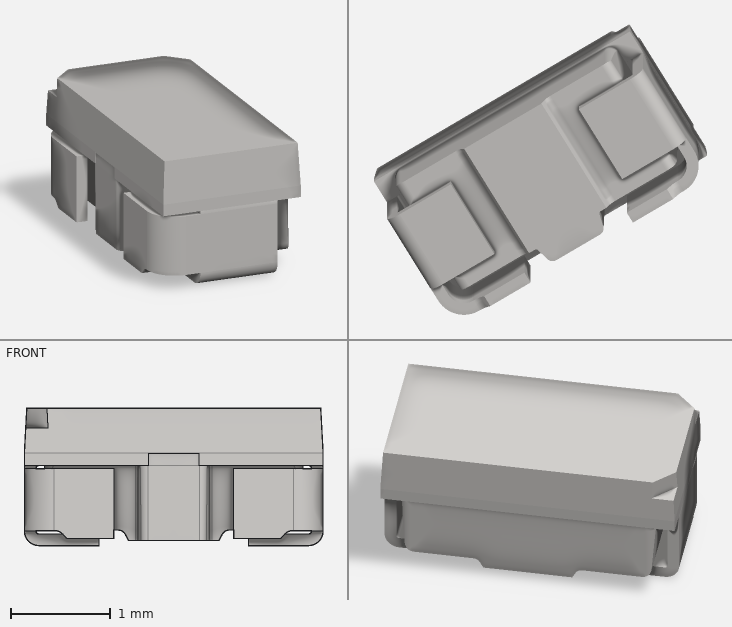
import cadquery as cq
LENGTH = 3.0
WIDTH = 1.5
TOP_Z = 1.38
FLANGE_TOP_Z = 0.93
FLANGE_BOTTOM_Z = 0.807
CAP_INSET = 0.025
CORNER_CUT_LEG = 0.252
CORNER_CUT_DEPTH = 0.198

LENS_LENGTH = 2.425
LENS_WIDTH = 1.182
LENS_CORNER_R = 0.2

BASE_BOTTOM_Z = 0.05
BASE_FRONT_Y = -0.575
BASE_FRONT_LEAN = 0.048
BASE_BACK_Y = 0.732
BASE_TOP_HALF = 1.3
BASE_END_LEAN = 0.048
BASE_EDGE_R = 0.1
STEP_R = 0.075
RECESS_Z = 0.155
RECESS_HALF = 0.51
STEP_HALF = 0.453

BOSS_ROOT_Y = BASE_FRONT_Y + BASE_FRONT_LEAN
BOSS_ROOT_HALF = 0.375
BOSS_TIP_HALF = 0.32
BOSS_SIDE_LEAN = 0.01
BOSS_TOP_Y = -0.74
BOSS_BOTTOM_Y = -0.732
BOSS_TIP_R = 0.08
BOSS_ROOT_R = 0.025
BOSS_FLAT_HALF = 0.255
NOTCH_TOP_Z = 0.925

SHEET = 0.12
FOLD_R = 0.15
FOLD_INNER_R = 0.025
LEAD_TOP_Z = 0.925
LEAD_REACH = 0.75
STRIP_FRONT_Y = -0.345
STRIP_BACK_Y = 0.498
ARM_FRONT_Y = -0.8
ARM_END_X = -0.6
ARM_BEND_R = 0.3
ARM_BOTTOM_Z = 0.072
ARM_STEP_START_X = -1.15
ARM_STEP_END_X = -1.07
ARM_STEP_R = 0.1


def box(x0, x1, y0, y1, z0, z1):
    """Box between two opposite corners."""
    return cq.Workplane("XY").box(x1 - x0, y1 - y0, z1 - z0, centered=False).translate((x0, y0, z0))


def make_lens():
    depth = TOP_Z - FLANGE_TOP_Z
    lens = cq.Workplane("XY").workplane(offset=FLANGE_TOP_Z).rect(LENS_LENGTH, LENS_WIDTH).extrude(depth)
    return lens.edges("|Z").fillet(LENS_CORNER_R)


def make_lead():
    """Lead on the -X end: C-shaped strip plus an arm bent round the front corner."""
    end_x = -LENGTH / 2
    strip_width = STRIP_BACK_Y - STRIP_FRONT_Y
    strip = box(end_x, end_x + LEAD_REACH, STRIP_FRONT_Y, STRIP_BACK_Y, 0, LEAD_TOP_Z)
    strip = strip.edges("|Y and <X").fillet(FOLD_R)
    inside = box(end_x + SHEET, 0, STRIP_FRONT_Y, STRIP_FRONT_Y + strip_width, SHEET, LEAD_TOP_Z - SHEET)
    strip = strip.cut(inside.edges("|Y and <X").fillet(FOLD_INNER_R))

    arm = box(end_x, ARM_END_X, ARM_FRONT_Y, STRIP_FRONT_Y, ARM_BOTTOM_Z, LEAD_TOP_Z - FOLD_R)
    arm = arm.edges("|Z and <X and <Y").fillet(ARM_BEND_R)
    hollow = box(end_x + SHEET, 0, ARM_FRONT_Y + SHEET, STRIP_FRONT_Y, 0, LEAD_TOP_Z)
    arm = arm.cut(hollow.edges("|Z and <X and <Y").fillet(ARM_BEND_R - SHEET))
    clearance = (
        cq.Workplane("XZ", origin=(0, STRIP_FRONT_Y, 0))
        .moveTo(end_x, ARM_BOTTOM_Z)
        .lineTo(ARM_STEP_END_X, ARM_BOTTOM_Z)
        .lineTo(ARM_STEP_START_X, FOLD_R)
        .lineTo(end_x, FOLD_R)
        .close()
        .extrude(STRIP_FRONT_Y - ARM_FRONT_Y)
    )
    clearance = clearance.edges("|Y").edges(">Z").edges(">X").fillet(ARM_STEP_R)
    return strip.union(arm.cut(clearance))


def make_head():
    """Flange and cap with the two cut corners on the -X end."""
    flange = (
        cq.Workplane("XY").workplane(offset=FLANGE_BOTTOM_Z)
        .rect(LENGTH, WIDTH).extrude(FLANGE_TOP_Z - FLANGE_BOTTOM_Z)
    )
    cap = (
        cq.Workplane("XY").workplane(offset=FLANGE_TOP_Z)
        .rect(LENGTH, WIDTH)
        .workplane(offset=TOP_Z - FLANGE_TOP_Z)
        .rect(LENGTH - 2 * CAP_INSET, WIDTH - 2 * CAP_INSET)
        .loft(ruled=True)
    )
    for side in (-1, 1):
        corner = (
            cq.Workplane("XY").workplane(offset=TOP_Z - CORNER_CUT_DEPTH)
            .moveTo(-LENGTH / 2, side * WIDTH / 2)
            .lineTo(-LENGTH / 2 + CORNER_CUT_LEG, side * WIDTH / 2)
            .lineTo(-LENGTH / 2, side * (WIDTH / 2 - CORNER_CUT_LEG))
            .close()
            .extrude(CORNER_CUT_DEPTH)
        )
        cap = cap.cut(corner)
    notch = box(-BOSS_FLAT_HALF, BOSS_FLAT_HALF, -WIDTH / 2, BOSS_TOP_Y, FLANGE_BOTTOM_Z, NOTCH_TOP_Z)
    return flange.union(cap).cut(notch)


def round_pair(block, x, z, radius):
    """Round the two edges along Y that sit at height z, at +x and -x."""
    for edge_x in (-x, x):
        edge = cq.selectors.NearestToPointSelector((edge_x, (BASE_FRONT_Y + BASE_BACK_Y) / 2, z))
        block = block.edges("|Y").edges(edge).fillet(radius)
    return block


def make_base():
    """Base block with leaning ends and raised undersides above the lead feet."""
    bottom_half = BASE_TOP_HALF - BASE_END_LEAN
    profile = [
        (BASE_TOP_HALF, FLANGE_BOTTOM_Z),
        (bottom_half, RECESS_Z),
        (RECESS_HALF, RECESS_Z),
        (STEP_HALF, BASE_BOTTOM_Z),
    ]
    mirrored = [(-x, z) for x, z in reversed(profile)]
    block = (
        cq.Workplane("XZ", origin=(0, BASE_BACK_Y, 0))
        .polyline(profile + mirrored).close()
        .extrude(BASE_BACK_Y - BASE_FRONT_Y)
    )
    block = round_pair(block, bottom_half, RECESS_Z, BASE_EDGE_R)
    block = round_pair(block, RECESS_HALF, RECESS_Z, STEP_R)
    plan = box(-BASE_TOP_HALF, BASE_TOP_HALF, BASE_FRONT_Y, BASE_BACK_Y, BASE_BOTTOM_Z, FLANGE_BOTTOM_Z)
    front_wedge = (
        cq.Workplane("YZ", origin=(-LENGTH / 2, 0, 0))
        .moveTo(BASE_FRONT_Y, FLANGE_BOTTOM_Z)
        .lineTo(BASE_FRONT_Y, BASE_BOTTOM_Z)
        .lineTo(BOSS_ROOT_Y, BASE_BOTTOM_Z)
        .close()
        .extrude(LENGTH)
    )
    return block.intersect(plan.edges("|Z").fillet(BASE_EDGE_R)).cut(front_wedge)


def boss_outline(z, front_y, lean):
    """Closed plan outline of the boss at height z, with each side moved in by lean."""
    root_half = BOSS_ROOT_HALF - lean
    tip_half = BOSS_TIP_HALF - lean
    corners = [
        (-root_half, BOSS_ROOT_Y),
        (-tip_half, front_y),
        (tip_half, front_y),
        (root_half, BOSS_ROOT_Y),
    ]
    sketch = cq.Sketch().polygon(corners + corners[:1]).vertices("<Y").fillet(BOSS_TIP_R - lean)
    return sketch.moved(cq.Location(cq.Vector(0, 0, z)))


def make_boss():
    """Boss whose front and sides lean in towards the bottom."""
    return cq.Workplane("XY").placeSketch(
        boss_outline(BASE_BOTTOM_Z, BOSS_BOTTOM_Y, BOSS_SIDE_LEAN),
        boss_outline(FLANGE_BOTTOM_Z, BOSS_TOP_Y, 0),
    ).loft(ruled=True)


def make_housing(lens, leads):
    base = make_base().union(make_boss())
    middle_z = (BASE_BOTTOM_Z + FLANGE_BOTTOM_Z) / 2
    for side in (-1, 1):
        root_edge = cq.selectors.NearestToPointSelector((side * BOSS_ROOT_HALF, BOSS_ROOT_Y, middle_z))
        base = base.edges(root_edge).fillet(BOSS_ROOT_R)
    housing = make_head().union(base).cut(lens)
    for lead in leads:
        housing = housing.cut(lead)
    return housing


lens = make_lens()
left_lead = make_lead()
leads = [left_lead, left_lead.mirror("YZ")]
housing = make_housing(lens, leads)

result = cq.Compound.makeCompound([housing.val(), lens.val(), *[lead.val() for lead in leads]])